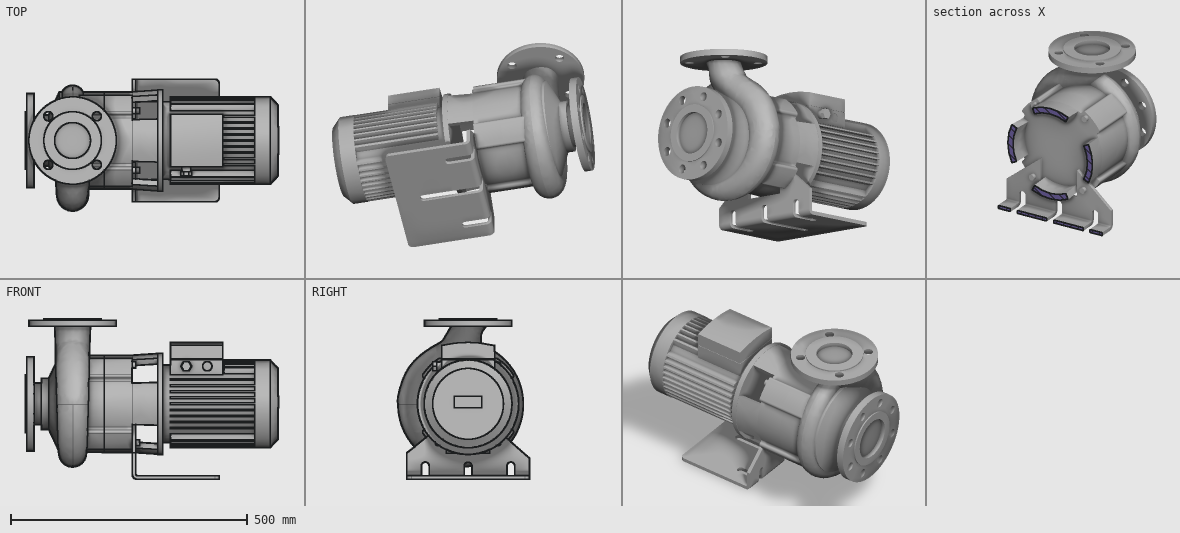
import cadquery as cq
import math


SUCTION_FACE_X = -100.0
DISCHARGE_FACE_Z = 180.0
RAISED_FACE_DIA = 122.0
RAISED_FACE_HEIGHT = 3.0
FLANGE_HOLE_DIA = 19.0
BORE_DEPTH = 10.0
SUCTION_DIA = 200.0
SUCTION_BOLT_CIRCLE = 160.0
SUCTION_BOLTS = 8
SUCTION_THICKNESS = 15.5
SUCTION_PIPE_DIA = 88.9
DISCHARGE_DIA = 185.0
DISCHARGE_BOLT_CIRCLE = 145.0
DISCHARGE_BOLTS = 4
DISCHARGE_THICKNESS = 13.0
DISCHARGE_PIPE_DIA = 76.1

COLLAR_DIA = 108.9
COLLAR_X = -66.0
CONE_START_X = -50.5
CONE_END_X = -28.0
VOLUTE_OUTER_RADIUS = 132.8
VOLUTE_CENTRE_Y = -15.7
VOLUTE_CENTRE_Z = -1.0
VOLUTE_RISE_PER_DEGREE = 0.035
VOLUTE_END_RADIUS = 33.5
VOLUTE_SHRINK_PER_DEGREE = 0.0472
VOLUTE_START_ANGLE = 270
VOLUTE_STEP = 30

OUTLET_ANGLES = (0, -12, -28, -44, -60)
OUTLET_BEND_STATIONS = (
    (-25.0, 112.0, 36.9, 36.5),
    (-6.8, 141.0, 20.4, 37.2),
    (0.0, 170.0, 11.5, DISCHARGE_PIPE_DIA / 2),
)

DRUM_RADIUS = 103.0
PAD_RADIUS = 114.0
PAD_HALF_ANGLE = 14.5
PAD_ROUND = 5.0
JOINT_X = 67.5
LANTERN_BACK_X = 126.0

ARM_HALF_ANGLE = 25.3
ARM_THICKNESS = 14.0
END_FLANGE_X = 180.0
END_FLANGE_END_X = 191.0
END_FLANGE_DIA = 215.0
ARM_END_RADIUS = 106.7

MOTOR_CORE_DIA = 165.0
MOTOR_DIA = 186.0
FIN_START_X = 207.0
FIN_END_X = 385.5
FIN_PITCH = 12.8
FIN_THICKNESS = 3.6
FINS_EACH_SIDE_OF_CENTRE = 4
COVER_CONE_X = 418.0
COVER_END_X = 435.0
COVER_END_DIA = 150.0
END_PLATE_X = 436.0
END_PLATE_WIDTH = 58.0
END_PLATE_BOTTOM_Z = -8.0
END_PLATE_TOP_Z = 16.0

BOX_LENGTH = 111.0
BOX_WIDTH = 112.0
BOX_SIDE_TOP_Z = 123.5
BOX_CROWN_Z = 130.0
BOX_BOTTOM_Z = 61.5
BOX_TO_FIN_GAP = 2.0
LID_SEAM_Z = 94.5
LID_SEAM_HEIGHT = 1.5
LID_SEAM_DEPTH = 1.0
GLAND_X = 240.5
GLAND_Z = 79.5
GLAND_NECK_DIA = 19.0
GLAND_NECK_LENGTH = 10.0
GLAND_NUT_FLATS = 20.0
GLAND_NUT_LENGTH = 9.0
ENTRY_X = 285.0
ENTRY_DIA = 20.0
ENTRY_DEPTH = 1.0

FOOT_THICKNESS = 8.0
FOOT_WIDTH = 260.0
FOOT_BOTTOM_Z = -160.0
FOOT_END_X = 310.5
FOOT_BEND_RADIUS = 3.0
FOOT_CORNER_RADIUS = 10.0
FOOT_LUG_INNER_Y = 46.0
FOOT_SADDLE_Z = -105.0
SHOULDER_Z_PLUS_Y = -115.0
SHOULDER_Z_MINUS_Y = -104.0
SHOULDER_SLOPE_PLUS_Y = 0.88
SHOULDER_SLOPE_MINUS_Y = 0.80
SLOT_WIDTH = 16.0
SLOT_SPACING = 90.5
SLOT_TOP_Z = -123.5
SIDE_SLOT_END_X = 188.0
MIDDLE_SLOT_END_X = 260.0

BOLT_DIA = 9.0
BOLT_LENGTH = 25.0
BOLT_HEAD_DIA = 13.0
BOLT_HEAD_HEIGHT = 8.0
BOLT_Y = 63.0
BOLT_Z = 82.0


def cylinder_x(x_start, x_end, radius):
    """Solid cylinder about the pump axis."""
    return cq.Workplane("YZ", origin=(x_start, 0, 0)).circle(radius).extrude(x_end - x_start)


def box_between(x, y, z):
    """Block spanning the three (low, high) ranges."""
    return (
        cq.Workplane("XY")
        .box(x[1] - x[0], y[1] - y[0], z[1] - z[0], centered=False)
        .translate((x[0], y[0], z[0]))
    )


def wedge(x_start, x_end, reach, half_angle):
    """Wedge opening from the pump axis toward +Y."""
    half_width = reach * math.tan(math.radians(half_angle))
    return (
        cq.Workplane("YZ", origin=(x_start, 0, 0))
        .polyline([(0, 0), (reach, half_width), (reach, -half_width)])
        .close()
        .extrude(x_end - x_start)
    )


def flange(diameter, thickness, bolt_circle, bolts):
    """Flange with raised face, lying with its sealing face at Z = 0 and its pipe below."""
    plate_top = -RAISED_FACE_HEIGHT
    plate = (
        cq.Workplane("XY", origin=(0, 0, plate_top))
        .circle(diameter / 2)
        .extrude(-thickness)
    )
    raised = (
        cq.Workplane("XY", origin=(0, 0, plate_top))
        .circle(RAISED_FACE_DIA / 2)
        .extrude(RAISED_FACE_HEIGHT)
    )
    holes = (
        cq.Workplane("XY")
        .polarArray(bolt_circle / 2, 180 / bolts, 360, bolts)
        .circle(FLANGE_HOLE_DIA / 2)
        .extrude(-thickness - RAISED_FACE_HEIGHT)
    )
    return plate.union(raised).cut(holes)


def bore(diameter):
    """Blind recess of a flange, opening at Z = 0."""
    return cq.Workplane("XY").circle(diameter / 2).extrude(-BORE_DEPTH)


def face_suction(shape):
    """Turn a shape made for the Z = 0 face so that it opens toward -X at the suction face."""
    return shape.rotate((0, 0, 0), (0, 1, 0), -90).translate((SUCTION_FACE_X, 0, 0))


def ring_section(y, z, lean, radius):
    """Circle across the volute passage, which runs upward leaning toward +Y by the given angle."""
    a = math.radians(lean)
    outward = cq.Vector(0, -math.cos(a), math.sin(a))
    plane = cq.Plane((0, y, z), xDir=outward, normal=(0, math.sin(a), math.cos(a)))
    return cq.Workplane(plane).circle(radius).wires().val()


def volute_section(angle):
    """Spiral section at an angle counted from -Y, positive through the bottom."""
    radius = VOLUTE_END_RADIUS - VOLUTE_SHRINK_PER_DEGREE * angle
    outer_radius = VOLUTE_OUTER_RADIUS + VOLUTE_RISE_PER_DEGREE * max(0, -angle)
    reach = outer_radius - radius
    a = math.radians(angle)
    y = VOLUTE_CENTRE_Y - reach * math.cos(a)
    z = VOLUTE_CENTRE_Z - reach * math.sin(a)
    return ring_section(y, z, -angle, radius)


def volute():
    scroll_angles = range(VOLUTE_START_ANGLE, -1, -VOLUTE_STEP)
    scroll = cq.Solid.makeLoft([volute_section(a) for a in scroll_angles])
    outlet_sections = [volute_section(a) for a in OUTLET_ANGLES]
    outlet_sections += [ring_section(*station) for station in OUTLET_BEND_STATIONS]
    outlet = cq.Solid.makeLoft(outlet_sections)
    return cq.Workplane(scroll).union(cq.Workplane(outlet))


def padded_drum(x_start, x_end):
    """Drum with four raised pads on its diagonals, their flanks rounded top and foot."""
    drum = cylinder_x(x_start, x_end, DRUM_RADIUS)
    pad = cylinder_x(x_start, x_end, PAD_RADIUS).intersect(
        wedge(x_start, x_end, 2 * PAD_RADIUS, PAD_HALF_ANGLE)
    )
    for corner in range(4):
        drum = drum.union(pad.rotate((0, 0, 0), (1, 0, 0), 45 + 90 * corner))
    return drum.edges("|X").fillet(PAD_ROUND)


def make_casing():
    suction_pipe = cylinder_x(SUCTION_FACE_X + RAISED_FACE_HEIGHT, COLLAR_X, SUCTION_PIPE_DIA / 2)
    collar = cylinder_x(COLLAR_X, CONE_START_X, COLLAR_DIA / 2)
    cone = (
        cq.Workplane("XY")
        .polyline(
            [
                (CONE_START_X, 0),
                (CONE_START_X, COLLAR_DIA / 2),
                (CONE_END_X, DRUM_RADIUS),
                (0, DRUM_RADIUS),
                (0, 0),
            ]
        )
        .close()
        .revolve(360, (0, 0, 0), (1, 0, 0))
    )
    suction = flange(SUCTION_DIA, SUCTION_THICKNESS, SUCTION_BOLT_CIRCLE, SUCTION_BOLTS)
    discharge = flange(DISCHARGE_DIA, DISCHARGE_THICKNESS, DISCHARGE_BOLT_CIRCLE, DISCHARGE_BOLTS)
    return (
        padded_drum(0, JOINT_X)
        .union(cone)
        .union(volute())
        .union(collar)
        .union(suction_pipe)
        .union(face_suction(suction))
        .union(discharge.translate((0, 0, DISCHARGE_FACE_Z)))
        .cut(face_suction(bore(SUCTION_PIPE_DIA)))
        .cut(bore(DISCHARGE_PIPE_DIA).translate((0, 0, DISCHARGE_FACE_Z)))
    )


def lantern_arms():
    """Four arms cut from a slightly flared shell, one on each side of the axis."""
    shell = (
        cq.Workplane("XY")
        .polyline(
            [
                (LANTERN_BACK_X, DRUM_RADIUS - ARM_THICKNESS),
                (LANTERN_BACK_X, DRUM_RADIUS),
                (END_FLANGE_X, ARM_END_RADIUS),
                (END_FLANGE_X, ARM_END_RADIUS - ARM_THICKNESS),
            ]
        )
        .close()
        .revolve(360, (0, 0, 0), (1, 0, 0))
    )
    cut = wedge(LANTERN_BACK_X, END_FLANGE_X, END_FLANGE_DIA, ARM_HALF_ANGLE)
    arms = cq.Workplane("XY")
    for side in range(4):
        arms = arms.union(shell.intersect(cut.rotate((0, 0, 0), (1, 0, 0), 90 * side)))
    return arms


def bolt(head_x, y, z):
    """Bolt along X whose head rests on the plane X = head_x."""
    head = cq.Workplane("YZ", origin=(head_x, y, z)).circle(BOLT_HEAD_DIA / 2).extrude(BOLT_HEAD_HEIGHT)
    shank = cq.Workplane("YZ", origin=(head_x, y, z)).circle(BOLT_DIA / 2).extrude(-BOLT_LENGTH)
    return head.union(shank)


def make_bolts():
    """Upper bolts sit on the lantern, lower bolts on the foot plate."""
    bolts = []
    for y in (-BOLT_Y, BOLT_Y):
        bolts.append(bolt(LANTERN_BACK_X, y, BOLT_Z))
        bolts.append(bolt(LANTERN_BACK_X + FOOT_THICKNESS, y, -BOLT_Z))
    return bolts


def make_lantern(bolts):
    end_flange = cylinder_x(END_FLANGE_X, END_FLANGE_END_X, END_FLANGE_DIA / 2)
    lantern = padded_drum(JOINT_X, LANTERN_BACK_X).union(lantern_arms()).union(end_flange)
    for one in bolts:
        lantern = lantern.cut(one)
    return lantern


def motor_fins():
    """Parallel upright and level fins, trimmed to the motor's round outline."""
    span = (FIN_START_X, FIN_END_X)
    radius = MOTOR_DIA / 2
    fins = cq.Workplane("XY")
    for step in range(-FINS_EACH_SIDE_OF_CENTRE, FINS_EACH_SIDE_OF_CENTRE + 1):
        centre = step * FIN_PITCH
        thick = (centre - FIN_THICKNESS / 2, centre + FIN_THICKNESS / 2)
        fins = fins.union(box_between(span, thick, (-radius, radius)))
        fins = fins.union(box_between(span, (-radius, radius), thick))
    return fins.intersect(cylinder_x(FIN_START_X, FIN_END_X, radius))


def box_space(length):
    """Room taken by the terminal box above the motor."""
    return box_between(
        (FIN_START_X, FIN_START_X + length),
        (-BOX_WIDTH / 2, BOX_WIDTH / 2),
        (BOX_BOTTOM_Z, BOX_CROWN_Z),
    )


def motor_core():
    return cylinder_x(END_FLANGE_END_X, FIN_END_X, MOTOR_CORE_DIA / 2)


def make_motor():
    cover = (
        cq.Workplane("XY")
        .polyline(
            [
                (FIN_END_X, 0),
                (FIN_END_X, MOTOR_DIA / 2),
                (COVER_CONE_X, MOTOR_DIA / 2),
                (COVER_END_X, COVER_END_DIA / 2),
                (COVER_END_X, 0),
            ]
        )
        .close()
        .revolve(360, (0, 0, 0), (1, 0, 0))
    )
    end_plate = box_between(
        (COVER_END_X, END_PLATE_X),
        (-END_PLATE_WIDTH / 2, END_PLATE_WIDTH / 2),
        (END_PLATE_BOTTOM_Z, END_PLATE_TOP_Z),
    )
    fins = motor_fins().cut(box_space(BOX_LENGTH + BOX_TO_FIN_GAP))
    return motor_core().union(fins).union(cover).union(end_plate)


def cable_gland():
    side = -BOX_WIDTH / 2
    nut_across_corners = GLAND_NUT_FLATS / math.cos(math.radians(30))
    neck = (
        cq.Workplane("XZ", origin=(GLAND_X, side, GLAND_Z))
        .circle(GLAND_NECK_DIA / 2)
        .extrude(GLAND_NECK_LENGTH)
    )
    nut = (
        cq.Workplane("XZ", origin=(GLAND_X, side - GLAND_NECK_LENGTH, GLAND_Z))
        .polygon(6, nut_across_corners)
        .extrude(GLAND_NUT_LENGTH)
    )
    return neck.union(nut)


def make_terminal_box():
    half = BOX_WIDTH / 2
    body = (
        cq.Workplane("YZ", origin=(FIN_START_X, 0, 0))
        .moveTo(-half, BOX_BOTTOM_Z)
        .lineTo(-half, BOX_SIDE_TOP_Z)
        .threePointArc((0, BOX_CROWN_Z), (half, BOX_SIDE_TOP_Z))
        .lineTo(half, BOX_BOTTOM_Z)
        .close()
        .extrude(BOX_LENGTH)
    )
    seam = (
        cq.Workplane("XY", origin=(FIN_START_X + BOX_LENGTH / 2, 0, LID_SEAM_Z))
        .rect(BOX_LENGTH, BOX_WIDTH)
        .rect(BOX_LENGTH - 2 * LID_SEAM_DEPTH, BOX_WIDTH - 2 * LID_SEAM_DEPTH)
        .extrude(LID_SEAM_HEIGHT / 2, both=True)
    )
    entry = (
        cq.Workplane("XZ", origin=(ENTRY_X, -half, GLAND_Z))
        .circle(ENTRY_DIA / 2)
        .extrude(-ENTRY_DEPTH)
    )
    return body.cut(motor_core()).cut(seam).cut(entry).union(cable_gland())


def foot_outline():
    """Outline of the upright plate across the pump axis, open in the middle for the lantern."""
    half = FOOT_WIDTH / 2
    lug_reach = half - FOOT_LUG_INNER_Y
    return [
        (half, FOOT_BOTTOM_Z),
        (half, SHOULDER_Z_PLUS_Y),
        (FOOT_LUG_INNER_Y, SHOULDER_Z_PLUS_Y + SHOULDER_SLOPE_PLUS_Y * lug_reach),
        (FOOT_LUG_INNER_Y, FOOT_SADDLE_Z),
        (-FOOT_LUG_INNER_Y, FOOT_SADDLE_Z),
        (-FOOT_LUG_INNER_Y, SHOULDER_Z_MINUS_Y + SHOULDER_SLOPE_MINUS_Y * lug_reach),
        (-half, SHOULDER_Z_MINUS_Y),
        (-half, FOOT_BOTTOM_Z),
    ]


def foot_slot(y, end_x):
    """Slot that runs down the upright plate, round the bend and along the base."""
    radius = SLOT_WIDTH / 2
    front = LANTERN_BACK_X
    back = end_x - radius
    top = SLOT_TOP_Z - radius
    sides = (y - radius, y + radius)
    upright_end = cq.Workplane("YZ", origin=(front, y, top)).circle(radius).extrude(FOOT_THICKNESS)
    upright = box_between((front, front + FOOT_THICKNESS), sides, (FOOT_BOTTOM_Z, top))
    base_height = FOOT_THICKNESS + FOOT_BEND_RADIUS
    base = box_between((front, back), sides, (FOOT_BOTTOM_Z, FOOT_BOTTOM_Z + base_height))
    base_end = cq.Workplane("XY", origin=(back, y, FOOT_BOTTOM_Z)).circle(radius).extrude(base_height)
    return upright_end.union(upright).union(base).union(base_end)


def make_foot(bolts):
    front = LANTERN_BACK_X
    length = FOOT_END_X - front
    upright = cq.Workplane("YZ", origin=(front, 0, 0)).polyline(foot_outline()).close().extrude(length)
    angle = (
        cq.Workplane("XZ", origin=(0, FOOT_WIDTH / 2, 0))
        .polyline(
            [
                (front, 0),
                (front, FOOT_BOTTOM_Z),
                (FOOT_END_X, FOOT_BOTTOM_Z),
                (FOOT_END_X, FOOT_BOTTOM_Z + FOOT_THICKNESS),
                (front + FOOT_THICKNESS, FOOT_BOTTOM_Z + FOOT_THICKNESS),
                (front + FOOT_THICKNESS, 0),
            ]
        )
        .close()
        .extrude(FOOT_WIDTH)
        .edges("|Y and <X and <Z")
        .fillet(FOOT_BEND_RADIUS + FOOT_THICKNESS)
    )
    inner_bend = cq.selectors.NearestToPointSelector(
        (front + FOOT_THICKNESS, 0, FOOT_BOTTOM_Z + FOOT_THICKNESS)
    )
    foot = angle.edges(inner_bend).fillet(FOOT_BEND_RADIUS).edges("|Z and >X").fillet(FOOT_CORNER_RADIUS)
    foot = foot.intersect(upright)
    foot = foot.cut(foot_slot(0, MIDDLE_SLOT_END_X))
    for y in (-SLOT_SPACING, SLOT_SPACING):
        foot = foot.cut(foot_slot(y, SIDE_SLOT_END_X))
    for one in bolts:
        foot = foot.cut(one)
    return foot


bolts = make_bolts()
casing = make_casing()
lantern = make_lantern(bolts)
motor = make_motor()
terminal_box = make_terminal_box()
foot = make_foot(bolts)

result = cq.Compound.makeCompound(
    [
        casing.solids().val(),
        lantern.solids().val(),
        motor.solids().val(),
        terminal_box.solids().val(),
        foot.solids().val(),
        *[one.solids().val() for one in bolts],
    ]
)